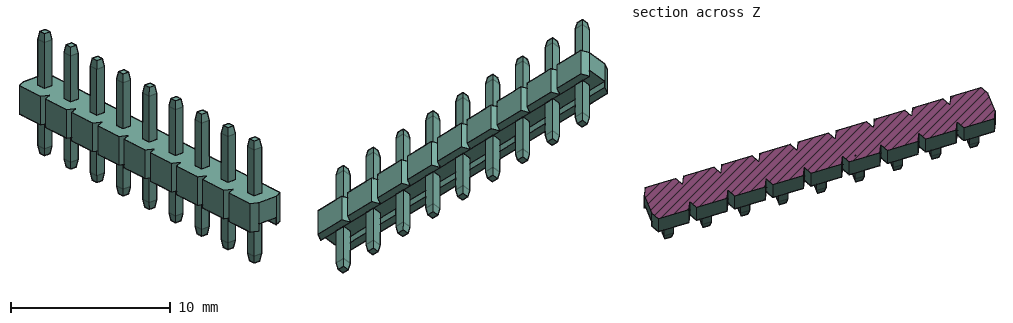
import cadquery as cq

pin_count = 9
total_length = 22.85
pitch = total_length / pin_count

strip_depth = 2.5
strip_height = 2.0
neck_depth = 1.42
bevel_run = 0.25

channel_width = 1.4
channel_height = 0.5

pin_length = 8.5
pin_width = 0.65
tip_width = 0.45
tip_length = 0.55
pin_below_strip = 2.77


def pin_position(index):
    """X position of a pin, with the row centred on the origin."""
    return (index - (pin_count - 1) / 2) * pitch


def strip_cell(x):
    """One pitch of the strip: a block whose four upright edges are bevelled."""
    half_end = pitch / 2
    half_face = half_end - bevel_run
    half_neck = neck_depth / 2
    half_depth = strip_depth / 2
    outline = [
        (-half_end, -half_neck),
        (-half_face, -half_depth),
        (half_face, -half_depth),
        (half_end, -half_neck),
        (half_end, half_neck),
        (half_face, half_depth),
        (-half_face, half_depth),
        (-half_end, half_neck),
    ]
    return cq.Workplane("XY").center(x, 0).polyline(outline).close().extrude(strip_height)


def tapered_tip(x, z, direction):
    """Pin end starting at height z and narrowing upward (+1) or downward (-1)."""
    return (
        cq.Workplane("XY", origin=(x, 0, z))
        .rect(pin_width, pin_width)
        .workplane(offset=direction * tip_length)
        .rect(tip_width, tip_width)
        .loft(ruled=True)
    )


def pin(x):
    """Square pin passing through the strip, tapered at both ends."""
    shaft_bottom = -pin_below_strip + tip_length
    shaft_length = pin_length - 2 * tip_length
    shaft_top = shaft_bottom + shaft_length
    shaft = (
        cq.Workplane("XY", origin=(x, 0, shaft_bottom))
        .rect(pin_width, pin_width)
        .extrude(shaft_length)
    )
    upper_tip = tapered_tip(x, shaft_top, 1)
    lower_tip = tapered_tip(x, shaft_bottom, -1)
    return shaft.union(upper_tip).union(lower_tip)


strip = strip_cell(pin_position(0))
for index in range(1, pin_count):
    strip = strip.union(strip_cell(pin_position(index)))

channel = cq.Workplane("XY").rect(total_length, channel_width).extrude(channel_height)
strip = strip.cut(channel)

result = strip
for index in range(pin_count):
    result = result.union(pin(pin_position(index)))

result = result.clean()